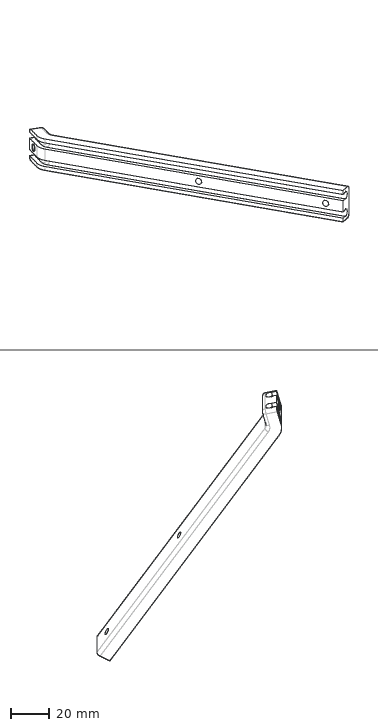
import cadquery as cq
import math

HEIGHT = 18.0
THICKNESS = 8.0
TOTAL_LENGTH = 184.75
TOTAL_DEPTH = 15.07

EDGE_RADIUS = 2.0

BEND_ANGLE = 45.0
INNER_BEND_RADIUS = 3.5
HALF_BEND = math.radians(BEND_ANGLE / 2)
BEND_SIN = math.sin(2 * HALF_BEND)
BEND_COS = math.cos(2 * HALF_BEND)

CORNER_LOSS = EDGE_RADIUS * (BEND_SIN + BEND_COS - 1)
SHORT_ARM = (TOTAL_DEPTH - THICKNESS + CORNER_LOSS) / BEND_SIN
LONG_ARM = TOTAL_LENGTH - THICKNESS * BEND_SIN - SHORT_ARM * BEND_COS

GROOVE_MOUTH = 3.5
GROOVE_CHANNEL_RADIUS = 2.0
GROOVE_CHANNEL_DEPTH = 3.6
GROOVE_OFFSET = 5.0

HOLE_DIAMETER = 3.4
LONG_ARM_HOLE_DISTANCES = (10.0, 83.0)
SHORT_ARM_HOLE_DISTANCE = 5.6
RIM_CHAMFER = 0.3


def to_short_arm(shape):
    """Swing a shape lying left of X = 0 about the rear bend corner, onto the short arm."""
    return shape.rotate((0, THICKNESS, 0), (0, THICKNESS, 1), -BEND_ANGLE)


def on_short_arm(along, inward):
    """XY point measured from the rear bend corner: along the short arm and towards its front."""
    x = -along * BEND_COS - inward * BEND_SIN
    y = THICKNESS + along * BEND_SIN - inward * BEND_COS
    return (x, y)


def on_bend_middle(inward):
    """XY point on the bend's line of symmetry, measured from the rear corner towards the front."""
    return (-inward * math.sin(HALF_BEND), THICKNESS - inward * math.cos(HALF_BEND))


def edge_near(bar, xy, z):
    return bar.edges(cq.selectors.NearestToPointSelector((*xy, z)))


def bent_bar():
    """Plain bar; the long arm has its front face on Y = 0 and starts at X = 0."""
    bar = (
        cq.Workplane("XY")
        .moveTo(LONG_ARM, 0)
        .lineTo(LONG_ARM, THICKNESS)
        .lineTo(0, THICKNESS)
        .lineTo(*on_short_arm(SHORT_ARM, 0))
        .lineTo(*on_short_arm(SHORT_ARM, THICKNESS))
        .lineTo(*on_short_arm(0, THICKNESS))
        .threePointArc(on_bend_middle(THICKNESS), (0, 0))
        .close()
        .extrude(HEIGHT / 2, both=True)
    )
    return edge_near(bar, (0, THICKNESS), 0).fillet(INNER_BEND_RADIUS)


def round_edges(bar):
    """Round the rims of the back and of the short arm's end, and the edge between these faces."""
    inner_bend_gap = INNER_BEND_RADIUS * (1 / math.cos(HALF_BEND) - 1)
    rim_points = (
        (LONG_ARM / 2, THICKNESS),
        on_bend_middle(-inner_bend_gap),
        on_short_arm(SHORT_ARM / 2, 0),
        on_short_arm(SHORT_ARM, THICKNESS / 2),
    )
    edges = edge_near(bar, on_short_arm(SHORT_ARM, 0), 0)
    for z in (-HEIGHT / 2, HEIGHT / 2):
        for point in rim_points:
            edges = edges.add(edge_near(bar, point, z))
    return edges.fillet(EDGE_RADIUS)


def groove_outline(center_z):
    """Groove cross-section with local x along Y and local y along Z."""
    half_mouth = GROOVE_MOUTH / 2
    low = center_z - half_mouth
    high = center_z + half_mouth
    lip = GROOVE_CHANNEL_DEPTH - math.sqrt(GROOVE_CHANNEL_RADIUS**2 - half_mouth**2)
    floor = GROOVE_CHANNEL_DEPTH + GROOVE_CHANNEL_RADIUS
    return (
        cq.Workplane("YZ")
        .moveTo(0, low)
        .lineTo(lip, low)
        .threePointArc((floor, center_z), (lip, high))
        .lineTo(0, high)
        .close()
        .val()
    )


def groove(center_z):
    """Groove carried along the long arm, around the bend and along the short arm."""
    outline = groove_outline(center_z)

    def section():
        return cq.Workplane("YZ").add(outline).toPending()

    long_part = section().extrude(LONG_ARM)
    bend_part = section().revolve(BEND_ANGLE, (THICKNESS, 0), (THICKNESS, -1))
    short_part = to_short_arm(section().extrude(-SHORT_ARM))
    return long_part.union(bend_part).union(short_part)


def hole(x):
    return cq.Workplane("XZ").center(x, 0).circle(HOLE_DIAMETER / 2).extrude(-THICKNESS)


def short_arm_hole():
    """Through hole with a slightly chamfered rim at the front."""
    x = SHORT_ARM_HOLE_DISTANCE - SHORT_ARM
    rim_radius = HOLE_DIAMETER / 2 + RIM_CHAMFER
    rim = cq.Workplane("XZ").center(x, 0).circle(rim_radius).extrude(-RIM_CHAMFER, taper=45)
    return to_short_arm(hole(x).union(rim))


result = round_edges(bent_bar())
for groove_z in (-GROOVE_OFFSET, GROOVE_OFFSET):
    result = result.cut(groove(groove_z))
for distance in LONG_ARM_HOLE_DISTANCES:
    result = result.cut(hole(LONG_ARM - distance))
result = result.cut(short_arm_hole()).solids()